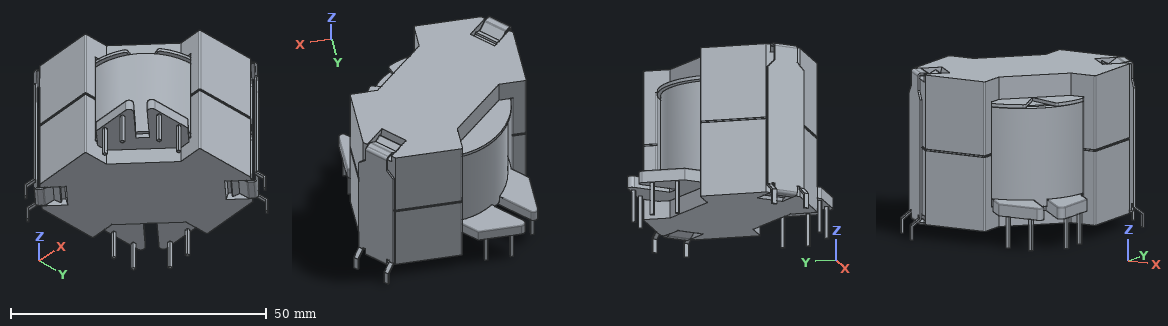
import cadquery as cq
import math


overall_side = 39.17
cut_margin = 0.4

core_height = 29.93
core_half_side = 17.3
corner_start = 11.9
notch_offset = 1.5
plate_half_width = 9.4
core_bore_radius = 14.5
window_bottom = 4.45
window_top = core_height - window_bottom
leg_edge_radius = 0.3
parting_gap = 0.3
parting_depth = 0.15

slot_width = 5.68
slot_depth = 1.55
slot_inner = 15.5
slot_wall_run = 0.4
corner_distance = (core_half_side + corner_start) / math.sqrt(2)

flange_radius = 14.3
flange_top = 25.05
flange_bottom = 24.4
winding_radius = 27.25 / 2
winding_top = 24.15
inner_winding_radius = 23.7 / 2
wire_notch_apex = 7.55
wire_notch_slope = 0.49
wire_notch_radius = 0.6
wire_notch_angle = -45

pin_plate_top = 5.88
pin_plate_bottom = 3.5
pin_plate_half_side = 17.27
pin_plate_half_width = 8.97
pin_plate_inner = 8.6
pin_plate_angles = (135, -45)
pin_slot_half_width = 1.35
pin_slot_inner = 12.93
pin_tip_radius = 0.9
pin_plate_edge_radius = 0.15
pin_size = 0.65
pin_overlap = 1.95
pin_bottom = -2.9
pin_row = 16.5
pin_positions = (6.25, 11.4)

clip_angles = (45, 225)
sheet = 0.4
clip_outer = 21.85
clip_inner = clip_outer - sheet
clip_half_width = 4.07
tab_half_width = 2.5
foot_inner = 3.1
shoulder_bottom = 25.05
shoulder_top = shoulder_bottom + clip_half_width - tab_half_width
clip_proud = 0.15
bend_radius = 0.63
hook_crest = 19.98
hook_valley = 18.17
hook_end = 16.85
valley_depth = 1.15
end_depth = 0.4
hook_bite = 0.05
crest_radius = 0.4
slit_top = 1.72
foot_bend_top = 1.4
foot_outer = overall_side / math.sqrt(2) - clip_half_width
foot_offset = 0.2


def cylinder(radius, bottom, top):
    return cq.Workplane("XY").workplane(offset=bottom).circle(radius).extrude(top - bottom)


def block(x0, x1, half_width, z0, z1):
    base = cq.Workplane("XY", origin=(x0, 0, z0))
    return base.box(x1 - x0, 2 * half_width, z1 - z0, centered=(False, True, False))


def turned(body, angle):
    return body.rotate((0, 0, 0), (0, 0, 1), angle)


def round_edge(body, near, radius):
    return body.edges(cq.selectors.NearestToPointSelector(near)).fillet(radius)


def core_outline():
    notch_end = plate_half_width * math.sqrt(2) - notch_offset
    half = [
        (core_half_side, -notch_offset),
        (core_half_side, corner_start),
        (corner_start, core_half_side),
        (-notch_offset, core_half_side),
        (-notch_offset, notch_end),
        (-notch_end, notch_offset),
    ]
    return cq.Workplane("XY").polyline(half + [(-x, -y) for x, y in half]).close()


def make_clip_slot():
    floor = core_height - slot_depth
    outer = corner_distance + cut_margin
    return (cq.Workplane("XZ")
            .polyline([(slot_inner, core_height), (slot_inner + slot_wall_run, floor),
                       (outer, floor), (outer, core_height)])
            .close().extrude(slot_width / 2, both=True))


def make_core():
    core = core_outline().extrude(core_height)
    core = core.cut(cylinder(core_bore_radius, window_bottom, window_top))
    bore_meet = math.sqrt(core_bore_radius ** 2 - notch_offset ** 2)
    middle = core_height / 2
    for reach in (core_half_side, bore_meet):
        for point in ((reach, -notch_offset), (-notch_offset, reach),
                      (-reach, notch_offset), (notch_offset, -reach)):
            core = round_edge(core, (*point, middle), leg_edge_radius)

    gap_bottom = middle - parting_gap / 2
    recess = core_outline().offset2D(-parting_depth).extrude(parting_gap)
    groove = core_outline().extrude(parting_gap).cut(recess)
    core = core.cut(groove.translate((0, 0, gap_bottom)))
    for angle in clip_angles:
        top_slot = turned(make_clip_slot(), angle)
        core = core.cut(top_slot).cut(top_slot.mirror("XY", (0, 0, middle)))
    return core


def make_pin_slot():
    return block(pin_slot_inner, 2 * pin_plate_half_side, pin_slot_half_width,
                 pin_plate_bottom, pin_plate_top)


def make_bobbin():
    inner_winding = cylinder(inner_winding_radius, window_bottom, flange_bottom)
    bottom_flange = cylinder(flange_radius, window_bottom, pin_plate_top)
    for angle in pin_plate_angles:
        bottom_flange = bottom_flange.cut(turned(make_pin_slot(), angle))
    winding = cylinder(winding_radius, window_bottom, winding_top)
    flange = cylinder(flange_radius, flange_bottom, flange_top)
    reach = flange_radius + cut_margin
    spread = (reach - wire_notch_apex) * wire_notch_slope
    rim_spread = (flange_radius - wire_notch_apex) * wire_notch_slope
    notch = (cq.Workplane("XY").workplane(offset=flange_bottom)
             .polyline([(wire_notch_apex, 0), (reach, spread), (reach, -spread)]).close()
             .extrude(flange_top - flange_bottom))
    flange = flange.cut(notch)
    for side in (-1, 1):
        corner = (flange_radius, side * rim_spread, (flange_bottom + flange_top) / 2)
        flange = round_edge(flange, corner, wire_notch_radius)
    flange = turned(flange, wire_notch_angle)
    return inner_winding.union(bottom_flange).union(winding).union(flange)


def make_pin_plate():
    height = pin_plate_top - pin_plate_bottom
    plate = block(pin_plate_inner, 2 * pin_plate_half_side, pin_plate_half_width,
                  pin_plate_bottom, pin_plate_top)
    envelope = (cq.Workplane("XY").workplane(offset=pin_plate_bottom)
                .rect(2 * pin_plate_half_side, 2 * pin_plate_half_side).extrude(height))
    plate = plate.intersect(turned(envelope, 45))
    plate = plate.cut(make_pin_slot())
    diagonal = pin_plate_half_side * math.sqrt(2)
    middle = pin_plate_bottom + height / 2
    for offset, radius in ((pin_slot_half_width, pin_tip_radius),
                           (pin_plate_half_width, pin_plate_edge_radius)):
        for y in (-offset, offset):
            plate = round_edge(plate, (diagonal - offset, y, middle), radius)
    return plate.faces(">Z").edges().fillet(pin_plate_edge_radius)


def make_pins():
    points = []
    for along in pin_positions:
        points += [(pin_row, -along), (along, -pin_row), (-pin_row, along), (-along, pin_row)]
    return (cq.Workplane("XY").workplane(offset=pin_bottom).pushPoints(points)
            .rect(pin_size, pin_size).extrude(pin_plate_bottom + pin_overlap - pin_bottom))


def make_hook():
    top = core_height + clip_proud
    bend = bend_radius * math.sqrt(0.5)
    inner_radius = bend_radius - sheet
    inner_bend = inner_radius * math.sqrt(0.5)
    cx = clip_outer - bend_radius
    cz = top - bend_radius
    valley_top = core_height - valley_depth
    end_top = core_height - end_depth
    valley_underside = core_height - slot_depth - hook_bite
    tilt = math.atan2(end_top - valley_top, hook_valley - hook_end)
    end_back = sheet * math.sin(tilt)
    end_drop = sheet * math.cos(tilt)
    hook = (cq.Workplane("XZ").moveTo(clip_outer, cz)
            .threePointArc((cx + bend, cz + bend), (cx, top))
            .lineTo(hook_crest, top).lineTo(hook_valley, valley_top).lineTo(hook_end, end_top)
            .lineTo(hook_end - end_back, end_top - end_drop).lineTo(hook_valley, valley_underside)
            .lineTo(hook_crest, top - sheet).lineTo(cx, top - sheet)
            .threePointArc((cx + inner_bend, cz + inner_bend), (clip_inner, cz))
            .close().extrude(tab_half_width, both=True))
    return round_edge(hook, (hook_crest, 0, top), crest_radius)


def make_clip():
    bend_line = core_height + clip_proud - bend_radius
    half = [
        (tab_half_width, core_height - bend_line),
        (tab_half_width, slit_top),
        (foot_inner, slit_top),
        (foot_inner, foot_bend_top),
        (clip_half_width, foot_bend_top),
        (clip_half_width, shoulder_bottom),
        (tab_half_width, shoulder_top),
        (tab_half_width, bend_line),
    ]
    mirrored = [(-y, z) for y, z in reversed(half)]
    clip = cq.Workplane("YZ").workplane(offset=clip_inner).polyline(half + mirrored).close().extrude(sheet)
    hook = make_hook()
    bottom_hook = hook.mirror("XY", (0, 0, core_height / 2))
    clip = clip.union(hook).union(bottom_hook)
    foot = (cq.Workplane("XZ", origin=(0, clip_half_width, 0))
            .polyline([(clip_inner, foot_bend_top), (clip_outer, foot_bend_top), (foot_outer, 0),
                       (foot_outer, pin_bottom), (foot_outer - sheet, pin_bottom),
                       (foot_outer - sheet, -foot_offset), (clip_inner, foot_bend_top - foot_offset)])
            .close().extrude(clip_half_width - foot_inner))
    return clip.union(foot).union(foot.mirror("XZ"))


result = make_core().union(make_bobbin()).union(make_pins())
for angle in pin_plate_angles:
    result = result.union(turned(make_pin_plate(), angle))
for angle in clip_angles:
    result = result.union(turned(make_clip(), angle))